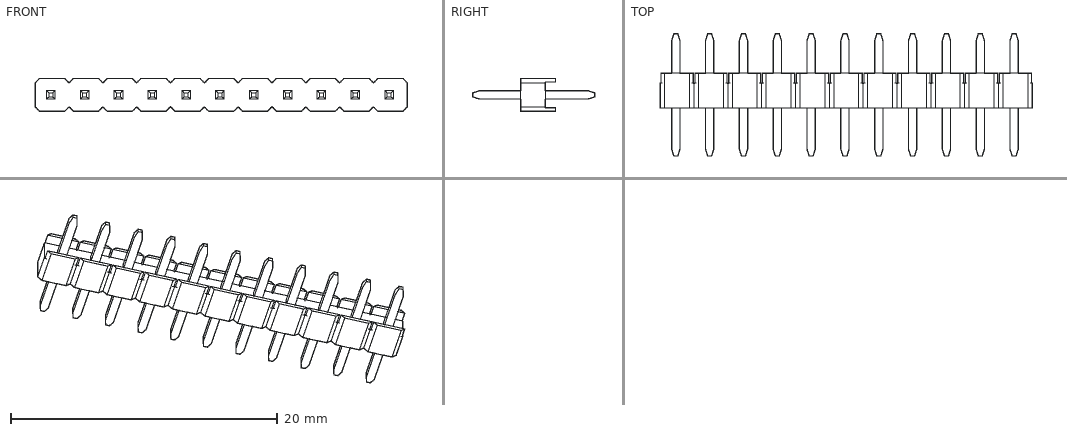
import cadquery as cq

pin_count = 11
body_length = 27.95
pitch = body_length / pin_count
body_height = 2.5
chamfer = 0.34

body_depth = 2.63
web_depth = 1.87
flange_thickness = 0.28

pin_width = 0.65
pin_tip_width = 0.3
pin_taper_length = 0.53
pin_length = 9.2
pin_front_reach = 3.6
pin_offset = 1.17

left_side = -body_length / 2


def make_segment(left):
    """One body segment: a block with its four long edges chamfered."""
    return (
        cq.Workplane("XY")
        .box(pitch, body_depth, body_height, centered=(False, False, True))
        .edges("|Y")
        .chamfer(chamfer)
        .translate((left, 0, 0))
    )


def make_rear_channel():
    """Channel along the rear of the row that leaves a top and a bottom flange."""
    return (
        cq.Workplane("XY")
        .box(
            body_length,
            body_depth - web_depth,
            body_height - 2 * flange_thickness,
            centered=(True, False, True),
        )
        .translate((0, web_depth, 0))
    )


def make_taper(base_y, tip_y):
    """Pyramid-shaped pin end that narrows from base_y to tip_y."""
    base_plane = cq.Plane(origin=(0, base_y, 0), xDir=(1, 0, 0), normal=(0, tip_y - base_y, 0))
    return (
        cq.Workplane(base_plane)
        .rect(pin_width, pin_width)
        .workplane(offset=pin_taper_length)
        .rect(pin_tip_width, pin_tip_width)
        .loft(combine=True)
    )


def make_pin(x):
    """Square pin along Y, tapered at both ends."""
    front_tip = -pin_front_reach
    rear_tip = front_tip + pin_length
    front_base = front_tip + pin_taper_length
    rear_base = rear_tip - pin_taper_length
    shank = (
        cq.Workplane("XY")
        .box(pin_width, rear_base - front_base, pin_width, centered=(True, False, True))
        .translate((0, front_base, 0))
    )
    pin = shank.union(make_taper(front_base, front_tip)).union(make_taper(rear_base, rear_tip))
    return pin.translate((x, 0, 0))


segment_lefts = [left_side + i * pitch for i in range(pin_count)]

body = make_segment(segment_lefts[0])
for left in segment_lefts[1:]:
    body = body.union(make_segment(left))
result = body.cut(make_rear_channel())

for left in segment_lefts:
    result = result.union(make_pin(left + pin_offset))